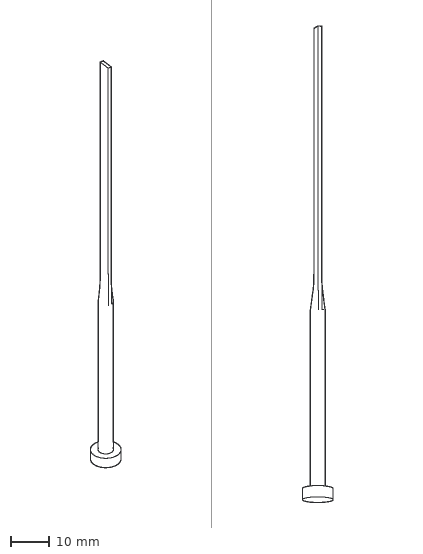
import cadquery as cq
import math

total_length = 125.0
head_diameter = 8.0
head_height = 3.0
shank_diameter = 4.0
shank_top = 50.0
blade_width = 3.5
blade_thickness = 1.0
blade_length = 65.0

blade_bottom = total_length - blade_length
transition_height = blade_bottom - shank_top


def make_head():
    """Round head standing on the XY plane."""
    return cq.Workplane("XY").circle(head_diameter / 2).extrude(head_height)


def make_shank():
    """Cylindrical shank running through the head up to the transition."""
    return cq.Workplane("XY").circle(shank_diameter / 2).extrude(shank_top)


def make_transition():
    """Symmetric loft from the round shank to the flat blade section.

    The circle is four arcs, split level with the blade faces, so each arc
    leads to one side of the blade rectangle.
    """
    radius = shank_diameter / 2
    split_y = blade_thickness / 2
    split_x = math.sqrt(radius**2 - split_y**2)
    half_width = blade_width / 2
    return (
        cq.Workplane("XY", origin=(0, 0, shank_top))
        .moveTo(-split_x, -split_y)
        .threePointArc((0, -radius), (split_x, -split_y))
        .threePointArc((radius, 0), (split_x, split_y))
        .threePointArc((0, radius), (-split_x, split_y))
        .threePointArc((-radius, 0), (-split_x, -split_y))
        .close()
        .workplane(offset=transition_height)
        .moveTo(-half_width, -split_y)
        .lineTo(half_width, -split_y)
        .lineTo(half_width, split_y)
        .lineTo(-half_width, split_y)
        .close()
        .loft(ruled=True)
    )


def make_blade():
    """Flat rectangular blade, wide along X and thin along Y."""
    return (
        cq.Workplane("XY", origin=(0, 0, blade_bottom))
        .rect(blade_width, blade_thickness)
        .extrude(blade_length)
    )


result = make_head().union(make_shank()).union(make_transition()).union(make_blade())